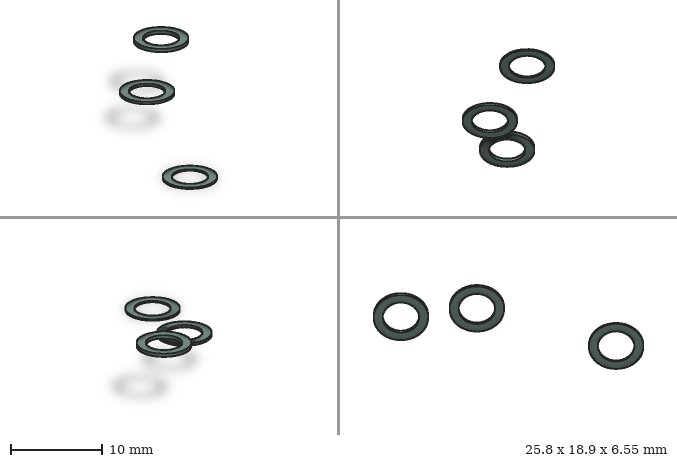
import cadquery as cq

LENGTH_X = 25.75
WIDTH_Y = 18.9
HEIGHT_Z = 6.55
OUTER_DIAMETER = 6.0
BORE_DIAMETER = 4.0
OUTER_RADIUS = OUTER_DIAMETER / 2

THIN = 0.2
MEDIUM = 0.3
THICK = 0.4

MIDDLE_OFFSET_X = 5.54
MIDDLE_OFFSET_Y = -6.82
MIDDLE_BASE_Z = 3.68

THICK_X = OUTER_RADIUS
THICK_Y = WIDTH_Y - OUTER_RADIUS
THIN_X = LENGTH_X - OUTER_RADIUS
THIN_Y = OUTER_RADIUS

WASHERS = [
    ((THICK_X, THICK_Y, HEIGHT_Z - THICK), THICK),
    ((THICK_X + MIDDLE_OFFSET_X, THICK_Y + MIDDLE_OFFSET_Y, MIDDLE_BASE_Z), MEDIUM),
    ((THIN_X, THIN_Y, 0), THIN),
]


def make_washer(base_center, thickness):
    """Flat ring standing on base_center, with its axis along Z."""
    return (
        cq.Workplane("XY", origin=base_center)
        .circle(OUTER_RADIUS)
        .circle(BORE_DIAMETER / 2)
        .extrude(thickness)
    )


washers = [make_washer(base_center, thickness) for base_center, thickness in WASHERS]

result = cq.Compound.makeCompound([washer.val() for washer in washers])